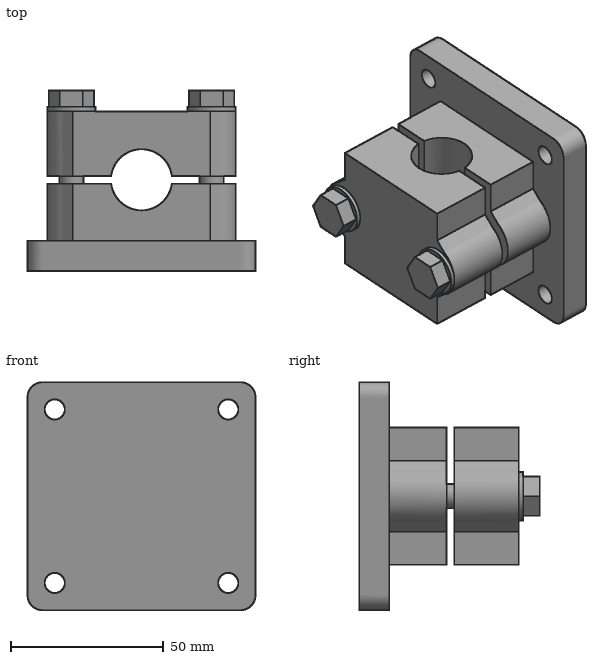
import cadquery as cq

plate_size = 75.0
plate_thickness = 10.0
plate_corner_radius = 5.0
mount_hole_diameter = 6.5
mount_hole_spacing = 57.0

bore_diameter = 20.0
bore_axis_y = 30.0
split_gap = 2.5
clamp_top_y = 52.5
block_size = 45.15

clamp_width = 62.0
lobe_root_half_height = 11.6
lobe_arc_x = 26.0
lobe_arc_half_height = 8.55

shank_diameter = 8.0
washer_diameter = 16.0
washer_thickness = 1.4
head_across_corners = 15.0
bolt_end_y = 59.4
bolt_x = (clamp_width - washer_diameter) / 2


def plane_at(y):
    """XZ sketch plane whose extrusions run toward +Y."""
    return cq.Workplane(cq.Plane(origin=(0, y, 0), xDir=(1, 0, 0), normal=(0, 1, 0)))


def mounting_plate():
    return (
        plane_at(0)
        .rect(plate_size, plate_size)
        .extrude(plate_thickness)
        .edges("|Y")
        .fillet(plate_corner_radius)
        .faces("<Y")
        .workplane(centerOption="CenterOfBoundBox")
        .rect(mount_hole_spacing, mount_hole_spacing, forConstruction=True)
        .vertices()
        .hole(mount_hole_diameter)
    )


def clamp_half(start_y, end_y):
    """Square block with a round-nosed lobe on each X side."""
    length = end_y - start_y
    half = plane_at(start_y).rect(block_size, block_size).extrude(length)
    for side in (-1, 1):
        root_x = side * block_size / 2
        arc_x = side * lobe_arc_x
        lobe = (
            plane_at(start_y)
            .moveTo(0, -lobe_root_half_height)
            .lineTo(root_x, -lobe_root_half_height)
            .lineTo(arc_x, -lobe_arc_half_height)
            .threePointArc((side * clamp_width / 2, 0), (arc_x, lobe_arc_half_height))
            .lineTo(root_x, lobe_root_half_height)
            .lineTo(0, lobe_root_half_height)
            .close()
            .extrude(length)
        )
        half = half.union(lobe)
    return half


def split_clamp():
    lower = clamp_half(plate_thickness, bore_axis_y - split_gap / 2)
    upper = clamp_half(bore_axis_y + split_gap / 2, clamp_top_y)
    bore = (
        cq.Workplane("XY")
        .center(0, bore_axis_y)
        .circle(bore_diameter / 2)
        .extrude(block_size, both=True)
    )
    return lower.union(upper).cut(bore)


def bolts():
    """Shanks joining the clamp halves, with washers and hexagon heads."""
    centers = [(-bolt_x, 0), (bolt_x, 0)]
    washer_top_y = clamp_top_y + washer_thickness
    shanks = (
        plane_at(plate_thickness)
        .pushPoints(centers)
        .circle(shank_diameter / 2)
        .extrude(clamp_top_y - plate_thickness)
    )
    washers = (
        plane_at(clamp_top_y)
        .pushPoints(centers)
        .circle(washer_diameter / 2)
        .extrude(washer_thickness)
    )
    heads = (
        plane_at(washer_top_y)
        .pushPoints(centers)
        .polygon(6, head_across_corners)
        .extrude(bolt_end_y - washer_top_y)
    )
    return shanks.union(washers).union(heads)


result = mounting_plate().union(split_clamp()).union(bolts())